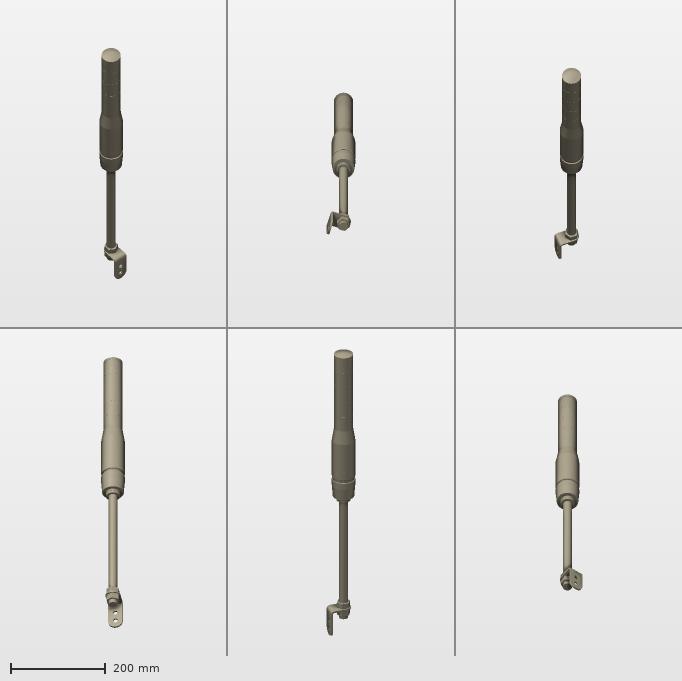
import cadquery as cq

TOP_Z = 672.0

BODY_R = 25.0
SHOULDER_STEP = 4.9
BODY_SHOULDER_Z = 463.0
BODY_BOTTOM_Z = 376.5
BODY_CHAMFER = 1.5
NECK_R = 22.0
CAP_TOP_Z = 370.5
CAP_TAPER_Z = 355.5
CAP_BOTTOM_R = 23.0
CAP_BOTTOM_Z = 329.5

TUBE_R = BODY_R - SHOULDER_STEP
TUBE_BOTTOM_Z = 493.5
DOME_HEIGHT = 3.5
RING_PROUD = 0.2
RING_R = TUBE_R + RING_PROUD
RING_HEIGHT = 5.5
RING_PITCH = 35.5
RING_COUNT = 5

FLANGE_R = 15.5
FLANGE_BOTTOM_Z = 325.5
COLLAR_R = 15.0
COLLAR_BOTTOM_Z = 319.0

POLE_R = 9.5
POLE_BOTTOM_Z = 37.0

NUT_ACROSS_CORNERS = 29.0
UPPER_NUT_HEIGHT = 12.0
LOWER_NUT_HEIGHT = 13.5

BRACKET_WIDTH = 31.0
BRACKET_THICKNESS = 4.0
BRACKET_FACE_X = 32.0
BRACKET_TOP_Z = 63.0
BEND_OUTER_R = 7.0
BOLT_HOLE_D = 10.0
BOLT_HOLE_PITCH = 20.0
LOWER_HOLE_Z = 16.0

BRACKET_END_R = BRACKET_WIDTH / 2
BRACKET_BOTTOM_Z = BRACKET_TOP_Z - BRACKET_THICKNESS
TUBE_TOP_Z = TOP_Z - DOME_HEIGHT


def disc(radius, bottom_z, top_z):
    """Cylinder on the Z axis between two heights."""
    return cq.Workplane("XY").workplane(offset=bottom_z).circle(radius).extrude(top_z - bottom_z)


def make_housing():
    """Revolved tube, body, cap, collar and pole as one turned outline."""
    dome_radius = (TUBE_R**2 + DOME_HEIGHT**2) / (2 * DOME_HEIGHT)
    dome_mid_r = TUBE_R / 2
    dome_mid_z = TOP_Z - dome_radius + (dome_radius**2 - dome_mid_r**2) ** 0.5
    outline = (
        cq.Workplane("XZ")
        .moveTo(0, TOP_Z)
        .threePointArc((dome_mid_r, dome_mid_z), (TUBE_R, TUBE_TOP_Z))
        .lineTo(TUBE_R, TUBE_BOTTOM_Z)
        .lineTo(BODY_R, BODY_SHOULDER_Z)
        .lineTo(BODY_R, BODY_BOTTOM_Z + BODY_CHAMFER)
        .lineTo(BODY_R - BODY_CHAMFER, BODY_BOTTOM_Z)
        .lineTo(NECK_R, BODY_BOTTOM_Z)
        .lineTo(NECK_R, CAP_TOP_Z)
        .lineTo(BODY_R, CAP_TOP_Z)
        .lineTo(BODY_R, CAP_TAPER_Z)
        .lineTo(CAP_BOTTOM_R, CAP_BOTTOM_Z)
        .lineTo(FLANGE_R, CAP_BOTTOM_Z)
        .lineTo(FLANGE_R, FLANGE_BOTTOM_Z)
        .lineTo(COLLAR_R, FLANGE_BOTTOM_Z)
        .lineTo(COLLAR_R, COLLAR_BOTTOM_Z)
        .lineTo(POLE_R, COLLAR_BOTTOM_Z)
        .lineTo(POLE_R, POLE_BOTTOM_Z)
        .lineTo(0, POLE_BOTTOM_Z)
        .close()
    )
    return outline.revolve(360, (0, 0, 0), (0, 1, 0))


def make_nut(bottom_z, height):
    """Hexagonal nut with two corners on the X axis."""
    return cq.Workplane("XY").workplane(offset=bottom_z).polygon(6, NUT_ACROSS_CORNERS).extrude(height)


def make_bracket():
    """L-shaped strip with rounded ends and two bolt holes in its hanging leg."""
    inner_x = BRACKET_FACE_X - BRACKET_THICKNESS
    strip = (
        cq.Workplane("XZ")
        .moveTo(-BRACKET_END_R, BRACKET_TOP_Z)
        .lineTo(BRACKET_FACE_X, BRACKET_TOP_Z)
        .lineTo(BRACKET_FACE_X, 0)
        .lineTo(inner_x, 0)
        .lineTo(inner_x, BRACKET_BOTTOM_Z)
        .lineTo(-BRACKET_END_R, BRACKET_BOTTOM_Z)
        .close()
        .extrude(BRACKET_END_R, both=True)
    )
    outer_bend = cq.selectors.NearestToPointSelector((BRACKET_FACE_X, 0, BRACKET_TOP_Z))
    inner_bend = cq.selectors.NearestToPointSelector((inner_x, 0, BRACKET_BOTTOM_Z))
    strip = strip.edges(outer_bend).fillet(BEND_OUTER_R)
    strip = strip.edges(inner_bend).fillet(BEND_OUTER_R - BRACKET_THICKNESS)

    plan = disc(BRACKET_END_R, 0, BRACKET_TOP_Z).union(
        cq.Workplane("XY").box(BRACKET_FACE_X, BRACKET_WIDTH, BRACKET_TOP_Z, centered=(False, True, False))
    )

    side = (
        cq.Workplane("YZ")
        .moveTo(-BRACKET_END_R, BRACKET_TOP_Z)
        .lineTo(-BRACKET_END_R, BRACKET_END_R)
        .threePointArc((0, 0), (BRACKET_END_R, BRACKET_END_R))
        .lineTo(BRACKET_END_R, BRACKET_TOP_Z)
        .close()
        .extrude(BRACKET_FACE_X, both=True)
    )
    bolt_holes = (
        cq.Workplane("YZ")
        .workplane(offset=inner_x)
        .pushPoints([(0, LOWER_HOLE_Z), (0, LOWER_HOLE_Z + BOLT_HOLE_PITCH)])
        .circle(BOLT_HOLE_D / 2)
        .extrude(BRACKET_THICKNESS)
    )
    return strip.intersect(plan).intersect(side).cut(bolt_holes)


result = make_housing()

for index in range(RING_COUNT):
    ring_top_z = TUBE_TOP_Z - index * RING_PITCH
    result = result.union(disc(RING_R, ring_top_z - RING_HEIGHT, ring_top_z))

result = result.union(make_bracket())
result = result.union(make_nut(BRACKET_TOP_Z, UPPER_NUT_HEIGHT))
result = result.union(make_nut(BRACKET_BOTTOM_Z - LOWER_NUT_HEIGHT, LOWER_NUT_HEIGHT))